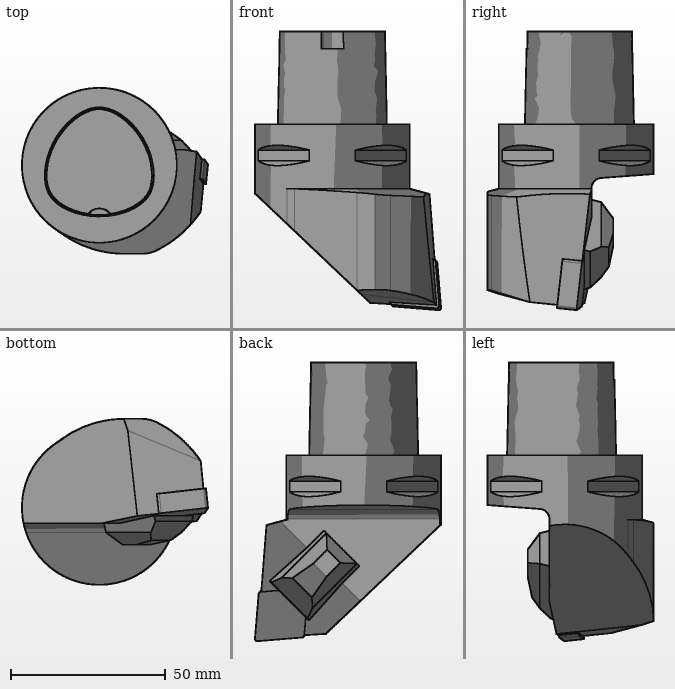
import cadquery as cq
import math


def tangent_of(degrees):
    return math.tan(math.radians(degrees))


FLANGE_DIAMETER = 50.0
FLANGE_RADIUS = FLANGE_DIAMETER / 2
FLANGE_HEIGHT = 20.8

SHANK_HEIGHT = 30.0
SHANK_MEAN_RADIUS = 17.6
SHANK_LOBE = 1.1
SHANK_CURVE_POINTS = 24
SHANK_TAPER = 0.6
KEY_RADIUS = 4.5
KEY_DEPTH = 5.6
KEY_INNER_Y = -13.95

GRIP_FLAT_DISTANCE = 22.1
GRIP_CENTRE_Z = -10.1
GRIP_FLOOR_WIDTH = 3.4
GRIP_MOUTH_WIDTH = 6.6
GRIP_COUNT = 4

HEAD_FRONT_Y = -28.6
HEAD_BACK_Y = 5.0
HEAD_TANGENT_ANGLE = 54.1
HEAD_TANGENT_LENGTH = 3.0
FRONT_FLAT_START_X = 7.8
FRONT_FLAT_END_X = 13.7
FRONT_CORNER_RADIUS = 11.1
FRONT_CORNER_ANGLE = 27.0
SIDE_CURVE_MID = (26.5, -22.1)
SIDE_CURVE_END = (32.7, -15.0)
SIDE_LIMIT_X = 40.5
HEAD_SHOULDER_ANGLE = 15.0
HEAD_BOTTOM_Z = -67.5

RELIEF_ANGLE = 5.0
RELIEF_POINT = (31.4, 4.4, -22.7)

SLOPE_TOP = (-FLANGE_RADIUS, -22.3)
SLOPE_BOTTOM = (12.2, -57.7)

UNDERSIDE_LEFT = (9.45, -24.75, -54.8)
UNDERSIDE_RIGHT = (32.8, -15.0, -57.4)
UNDERSIDE_BACK = (SLOPE_BOTTOM[0], 2.7, SLOPE_BOTTOM[1])
UNDERSIDE_FRONT = (FRONT_FLAT_START_X, HEAD_FRONT_Y, -53.55)

BACK_NOTCH_EDGE_Z = -16.1
BACK_NOTCH_ANGLE = 4.3
BACK_NOTCH_FILLET = 6.4 / 2

INSERT_TIP = (35.2, 0.1, -60.1)
INSERT_EDGE = 16.1
INSERT_POINT_ANGLE = 80.0
INSERT_THICKNESS = 6.4
INSERT_NOSE_RADIUS = 0.8
RAKE_ANGLE = 6.0

CLAMP_WIDTH = 13.95
CLAMP_BACK_CENTRE = (7.1, -30.1)
CLAMP_ROOT_Y = 0.9
CLAMP_WALL_TOP_Y = 8.1
CLAMP_DRAFT = 20.0
CLAMP_PROFILE = [
    (0, CLAMP_ROOT_Y),
    (0, CLAMP_WALL_TOP_Y),
    (3.6, 12.1),
    (9.9, 12.1),
    (18, 10.6),
    (23.85, 4.5),
    (23.85, CLAMP_ROOT_Y),
]

CUT_SIZE = 270.0

rake_slope = tangent_of(RAKE_ANGLE)
RAKE_NORMAL = cq.Vector(rake_slope, 1, -rake_slope)
TIP_DIRECTION = cq.Vector(1, -2 * rake_slope, -1)


def half_space(point, normal):
    """Large block on the side of a plane that the normal points to."""
    return cq.Workplane(cq.Plane(origin=point, normal=normal)).rect(CUT_SIZE, CUT_SIZE).extrude(CUT_SIZE)


def below_three_points(first, second, third):
    """Half space under the plane through three points."""
    start = cq.Vector(*first)
    normal = (cq.Vector(*second) - start).cross(cq.Vector(*third) - start)
    if normal.z > 0:
        normal = normal * -1
    return half_space(first, normal.toTuple())


def shank_outline(z, mean_radius):
    """Closed three-lobed curve of constant width with one lobe towards +Y."""
    points = []
    for index in range(SHANK_CURVE_POINTS):
        angle = 2 * math.pi * index / SHANK_CURVE_POINTS
        lobe_angle = 3 * (angle - math.pi / 2)
        reach = mean_radius + SHANK_LOBE * math.cos(lobe_angle)
        reach_rate = -3 * SHANK_LOBE * math.sin(lobe_angle)
        x = reach * math.cos(angle) - reach_rate * math.sin(angle)
        y = reach * math.sin(angle) + reach_rate * math.cos(angle)
        points.append(cq.Vector(x, y, z))
    return cq.Wire.assembleEdges([cq.Edge.makeSpline(points, periodic=True)])


def make_shank():
    base = shank_outline(0, SHANK_MEAN_RADIUS)
    top = shank_outline(SHANK_HEIGHT, SHANK_MEAN_RADIUS - SHANK_TAPER)
    shank = cq.Workplane(cq.Solid.makeLoft([base, top]))
    key = (
        cq.Workplane("XY", origin=(0, KEY_INNER_Y - KEY_RADIUS, SHANK_HEIGHT))
        .circle(KEY_RADIUS)
        .extrude(-KEY_DEPTH)
    )
    return shank.cut(key)


def make_flange():
    flange = cq.Workplane("XY").circle(FLANGE_RADIUS).extrude(-FLANGE_HEIGHT)
    floor = GRIP_FLOOR_WIDTH / 2
    mouth = GRIP_MOUTH_WIDTH / 2
    groove = (
        cq.Workplane("XZ", origin=(0, 0, GRIP_CENTRE_Z))
        .polyline([
            (GRIP_FLAT_DISTANCE, -floor),
            (FLANGE_RADIUS, -mouth),
            (FLANGE_RADIUS, mouth),
            (GRIP_FLAT_DISTANCE, floor),
        ])
        .close()
        .extrude(FLANGE_RADIUS, both=True)
    )
    for index in range(GRIP_COUNT):
        angle = (index + 0.5) * 360 / GRIP_COUNT
        flange = flange.cut(groove.rotate((0, 0, 0), (0, 0, 1), angle))
    return flange


def make_head_prism():
    """Upright block whose left side continues the flange and whose front bulges past it."""
    turn = math.radians(HEAD_TANGENT_ANGLE)
    leave = (-FLANGE_RADIUS * math.cos(turn), -FLANGE_RADIUS * math.sin(turn))
    curve_start = (
        leave[0] + HEAD_TANGENT_LENGTH * math.sin(turn),
        leave[1] - HEAD_TANGENT_LENGTH * math.cos(turn),
    )
    corner = math.radians(FRONT_CORNER_ANGLE)
    corner_end = (
        FRONT_FLAT_END_X + FRONT_CORNER_RADIUS * math.sin(corner),
        HEAD_FRONT_Y + FRONT_CORNER_RADIUS * (1 - math.cos(corner)),
    )
    back_left_x = -math.sqrt(FLANGE_RADIUS**2 - HEAD_BACK_Y**2)
    return (
        cq.Workplane("XY", origin=(0, 0, -FLANGE_HEIGHT))
        .moveTo(*leave)
        .lineTo(*curve_start)
        .tangentArcPoint((FRONT_FLAT_START_X, HEAD_FRONT_Y), relative=False)
        .lineTo(FRONT_FLAT_END_X, HEAD_FRONT_Y)
        .tangentArcPoint(corner_end, relative=False)
        .threePointArc(SIDE_CURVE_MID, SIDE_CURVE_END)
        .lineTo(SIDE_LIMIT_X, SIDE_CURVE_END[1])
        .lineTo(SIDE_LIMIT_X, HEAD_BACK_Y)
        .lineTo(back_left_x, HEAD_BACK_Y)
        .threePointArc((-FLANGE_RADIUS, 0), leave)
        .close()
        .extrude(HEAD_BOTTOM_Z + FLANGE_HEIGHT)
    )


def make_head_shoulder():
    """Envelope with a conical top that falls away from the flange edge."""
    outer_radius = 2 * FLANGE_RADIUS
    drop = (outer_radius - FLANGE_RADIUS) * tangent_of(HEAD_SHOULDER_ANGLE)
    return (
        cq.Workplane("XZ")
        .polyline([
            (0, HEAD_BOTTOM_Z),
            (outer_radius, HEAD_BOTTOM_Z),
            (outer_radius, -FLANGE_HEIGHT - drop),
            (FLANGE_RADIUS, -FLANGE_HEIGHT),
            (0, -FLANGE_HEIGHT),
        ])
        .close()
        .revolve(360, (0, 0, 0), (0, 1, 0))
    )


def make_head():
    head = make_head_prism().intersect(make_head_shoulder())
    lean = tangent_of(RELIEF_ANGLE)
    head = head.cut(half_space(RELIEF_POINT, (1, -lean, lean)))
    slope_run = SLOPE_BOTTOM[0] - SLOPE_TOP[0]
    slope_fall = SLOPE_TOP[1] - SLOPE_BOTTOM[1]
    head = head.cut(half_space((SLOPE_TOP[0], 0, SLOPE_TOP[1]), (-slope_fall, 0, -slope_run)))
    head = head.cut(below_three_points(UNDERSIDE_LEFT, UNDERSIDE_RIGHT, UNDERSIDE_BACK))
    head = head.cut(below_three_points(UNDERSIDE_LEFT, UNDERSIDE_RIGHT, UNDERSIDE_FRONT))
    return head.cut(half_space(INSERT_TIP, RAKE_NORMAL.toTuple()))


def make_back_notch():
    """Space behind the head, reaching up into the flange with a rounded inner corner."""
    inner_z = BACK_NOTCH_EDGE_Z - (FLANGE_RADIUS - HEAD_BACK_Y) * tangent_of(BACK_NOTCH_ANGLE)
    return (
        cq.Workplane("YZ")
        .polyline([
            (HEAD_BACK_Y, HEAD_BOTTOM_Z),
            (HEAD_BACK_Y, inner_z),
            (FLANGE_RADIUS, BACK_NOTCH_EDGE_Z),
            (FLANGE_RADIUS, HEAD_BOTTOM_Z),
        ])
        .close()
        .extrude(CUT_SIZE, both=True)
        .edges(cq.NearestToPointSelector((0, HEAD_BACK_Y, inner_z)))
        .fillet(BACK_NOTCH_FILLET)
    )


def make_clamp():
    """Raised clamp on the back of the head, running diagonally towards the insert tip."""
    along = cq.Vector(1, 0, -1).normalized()
    across = along.cross(cq.Vector(0, 1, 0))
    origin = (CLAMP_BACK_CENTRE[0], 0, CLAMP_BACK_CENTRE[1])
    plane = cq.Plane(origin=origin, xDir=along.toTuple(), normal=across.toTuple())
    clamp = cq.Workplane(plane).polyline(CLAMP_PROFILE).close().extrude(CLAMP_WIDTH, both=True)
    for side in (1, -1):
        outward = across * side
        edge = cq.Vector(*origin) + outward * (CLAMP_WIDTH / 2) + cq.Vector(0, CLAMP_WALL_TOP_Y, 0)
        bevel_normal = outward + cq.Vector(0, 1, 0)
        draft_normal = outward + cq.Vector(0, tangent_of(CLAMP_DRAFT), 0)
        clamp = clamp.cut(half_space(edge.toTuple(), bevel_normal.toTuple()))
        clamp = clamp.cut(half_space(edge.toTuple(), draft_normal.toTuple()))
    return clamp


def make_insert():
    """Rhombic insert lying flush with the rake face of the head."""
    plane = cq.Plane(origin=INSERT_TIP, xDir=TIP_DIRECTION.toTuple(), normal=RAKE_NORMAL.toTuple())
    half_angle = math.radians(INSERT_POINT_ANGLE / 2)
    half_length = INSERT_EDGE * math.cos(half_angle)
    half_width = INSERT_EDGE * math.sin(half_angle)
    return (
        cq.Workplane(plane)
        .polyline([(0, 0), (-half_length, half_width), (-2 * half_length, 0), (-half_length, -half_width)])
        .close()
        .extrude(-INSERT_THICKNESS)
        .edges(cq.selectors.ParallelDirSelector(RAKE_NORMAL))
        .fillet(INSERT_NOSE_RADIUS)
    )


insert = make_insert()
body = make_flange().union(make_head()).cut(make_back_notch())
body = body.union(make_shank()).union(make_clamp()).cut(insert)

result = cq.Compound.makeCompound([body.solids().val(), insert.val()])